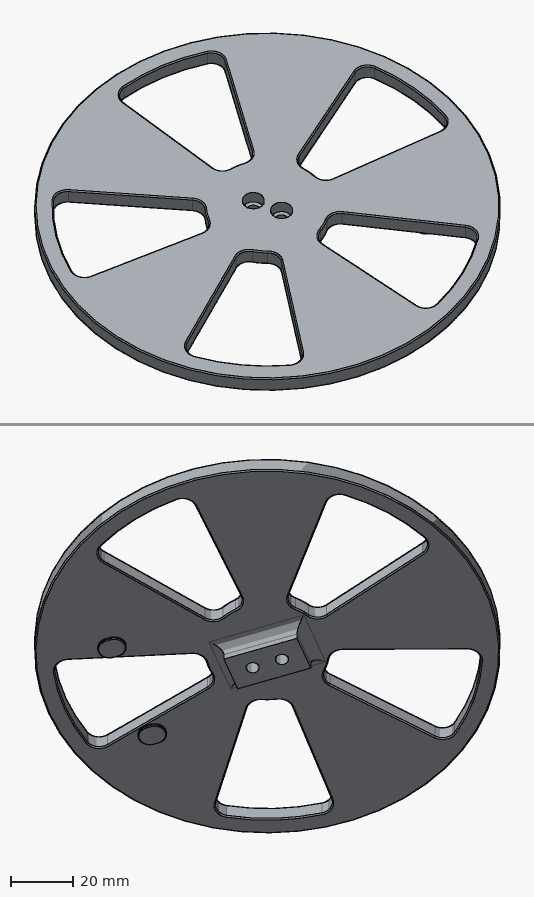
import cadquery as cq
import math

disc_diameter = 150.0
disc_thickness = 6.0
disc_chamfer = 0.5

window_count = 5
window_inner_radius = 20.1
window_outer_radius = 69.0
window_half_angle = 16.4
window_inner_half_width = 6.5
window_corner_radius = 4.5
window_chamfer = 0.5

hub_length = 25.0
hub_width = 13.0
hub_height = 6.0
hub_fillet = 3.8

hole_spacing = 10.0
hole_diameter = 4.2
counterbore_diameter = 7.0
counterbore_depth = 4.5

pad_length = 9.3
pad_width = 7.6
pad_height = 0.9
pad_chamfer = 0.3
pad_x = 46.4
pad_y = 19.0


def make_disc():
    disc = cq.Workplane("XY").circle(disc_diameter / 2).extrude(disc_thickness)
    return disc.edges().chamfer(disc_chamfer)


def make_window(angle):
    """Round-cornered cutter: a wedge trimmed by a ring, turned to its angle."""
    slope = math.tan(math.radians(window_half_angle))
    apex_x = window_inner_radius - window_inner_half_width / slope
    end_x = disc_diameter / 2
    end_half_width = (end_x - apex_x) * slope
    wedge = (
        cq.Workplane("XY")
        .polyline([(apex_x, 0), (end_x, -end_half_width), (end_x, end_half_width)])
        .close()
        .extrude(disc_thickness)
    )
    ring = (
        cq.Workplane("XY")
        .circle(window_outer_radius)
        .circle(window_inner_radius)
        .extrude(disc_thickness)
    )
    window = wedge.intersect(ring).edges("|Z").fillet(window_corner_radius)
    return window.rotate((0, 0, 0), (0, 0, 1), angle)


def cut_windows(disc):
    """Cut the windows and chamfer their rims on both faces of the disc."""
    for index in range(window_count):
        disc = disc.cut(make_window(index * 360 / window_count))
    rim_edges = [
        edge
        for face in disc.faces("<Z or >Z").vals()
        for rim in face.innerWires()
        for edge in rim.Edges()
    ]
    return disc.newObject(rim_edges).chamfer(window_chamfer)


def add_hub(disc):
    """Add a rectangular block that flares into the disc with a concave fillet."""
    block = cq.Workplane("XY").rect(hub_length, hub_width).extrude(-hub_height)
    root_box = cq.selectors.BoxSelector(
        (-hub_length, -hub_width, -hub_height / 2),
        (hub_length, hub_width, disc_thickness / 2),
    )
    return disc.union(block).edges("|X or |Y").edges(root_box).fillet(hub_fillet)


def make_pad(side):
    return (
        cq.Workplane("XY")
        .center(pad_x, side * pad_y)
        .slot2D(pad_length, pad_width)
        .extrude(-pad_height)
        .faces("<Z")
        .edges()
        .chamfer(pad_chamfer)
    )


def cut_screw_holes(body):
    return (
        body.faces(">Z")
        .workplane(origin=(0, 0, disc_thickness))
        .pushPoints([(-hole_spacing / 2, 0), (hole_spacing / 2, 0)])
        .cboreHole(hole_diameter, counterbore_diameter, counterbore_depth)
    )


wheel = add_hub(cut_windows(make_disc()))
for side in (-1, 1):
    wheel = wheel.union(make_pad(side))
result = cut_screw_holes(wheel)